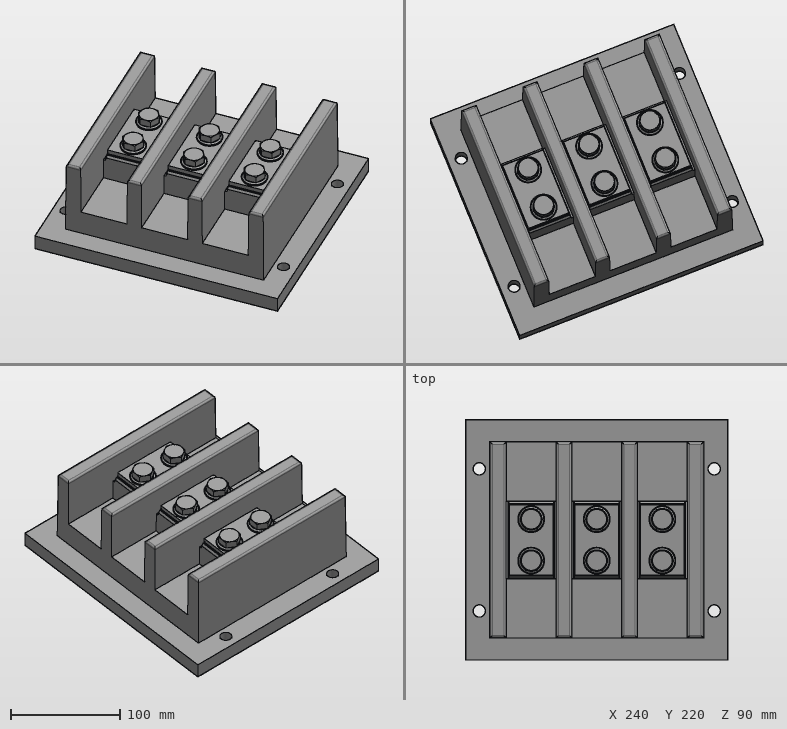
import cadquery as cq
import math

PLATE_LENGTH = 240.0
PLATE_WIDTH = 220.0
PLATE_THICKNESS = 15.0
MOUNT_HOLE_DIAMETER = 11.0
MOUNT_HOLE_SPACING_X = 215.0
MOUNT_HOLE_SPACING_Y = 130.0

TOTAL_HEIGHT = 90.0
HOUSING_LENGTH = 196.0
HOUSING_WIDTH = 180.0
DRAFT_ANGLE = 0.5
POLE_PITCH = 60.0
POLE_COUNT = 3
SLOT_FLOOR_WIDTH = 45.4
SLOT_FLOOR_Z = 39.4
WALL_TOP_FILLET = 2.0

BLOCK_DEPTH = 71.5
BLOCK_SHOULDER_Z = 59.8
BLOCK_NECK_Z = 63.0
BLOCK_TOP_Z = 64.8
BLOCK_RIB_WIDTH = 42.2
BLOCK_NECK_WIDTH = 40.5
BLOCK_END_CHAMFER = 2.0
BLOCK_END_TAPER = 0.7

STRIP_WIDTH = 40.5
STRIP_DEPTH = 64.8
STRIP_THICKNESS = 1.0
BAR_WIDTH = 40.0
BAR_DEPTH = 64.0
BAR_TOP_Z = 70.0

BOLT_SPACING = 38.0
WASHER_DIAMETER = 23.0
WASHER_THICKNESS = 1.7
CONE_LOWER_DIAMETER = 24.5
CONE_UPPER_DIAMETER = 19.7
CONE_HEIGHT = 1.2
HEAD_ACROSS_FLATS = 18.0
HEAD_TOP_Z = 80.0
HEAD_CHAMFER_ANGLE = 30.0

pole_centers = [(i - (POLE_COUNT - 1) / 2) * POLE_PITCH for i in range(POLE_COUNT)]
draft_slope = math.tan(math.radians(DRAFT_ANGLE))


def slot_half_width(z):
    """Half width of a slot at height z, growing upwards by the draft."""
    return SLOT_FLOOR_WIDTH / 2 + (z - SLOT_FLOOR_Z) * draft_slope


def make_plate():
    """Mounting plate with a hole near each corner."""
    return (
        cq.Workplane("XY")
        .box(PLATE_LENGTH, PLATE_WIDTH, PLATE_THICKNESS, centered=(True, True, False))
        .faces(">Z")
        .workplane()
        .rect(MOUNT_HOLE_SPACING_X, MOUNT_HOLE_SPACING_Y, forConstruction=True)
        .vertices()
        .hole(MOUNT_HOLE_DIAMETER)
    )


def make_slot(x):
    """Channel along Y that widens upwards by the draft."""
    half_floor = slot_half_width(SLOT_FLOOR_Z)
    half_top = slot_half_width(TOTAL_HEIGHT)
    return (
        cq.Workplane("XZ")
        .polyline([
            (x - half_floor, SLOT_FLOOR_Z),
            (x + half_floor, SLOT_FLOOR_Z),
            (x + half_top, TOTAL_HEIGHT),
            (x - half_top, TOTAL_HEIGHT),
        ])
        .close()
        .extrude(HOUSING_WIDTH / 2, both=True)
    )


def make_housing():
    """Tapered block cut by the slots, with the tops of the walls rounded."""
    body = (
        cq.Workplane("XY", origin=(0, 0, PLATE_THICKNESS))
        .rect(HOUSING_LENGTH, HOUSING_WIDTH)
        .extrude(TOTAL_HEIGHT - PLATE_THICKNESS, taper=DRAFT_ANGLE)
    )
    for x in pole_centers:
        body = body.cut(make_slot(x))
    return body.faces(">Z").edges().fillet(WALL_TOP_FILLET)


def make_block(x):
    """Block filling the slot width, with flat shoulders, a tapering rib and chamfered ends."""
    half_floor = slot_half_width(SLOT_FLOOR_Z)
    half_shoulder = slot_half_width(BLOCK_SHOULDER_Z)
    half_rib = BLOCK_RIB_WIDTH / 2
    half_neck = BLOCK_NECK_WIDTH / 2
    across = (
        cq.Workplane("XZ")
        .polyline([
            (x - half_floor, SLOT_FLOOR_Z),
            (x + half_floor, SLOT_FLOOR_Z),
            (x + half_shoulder, BLOCK_SHOULDER_Z),
            (x + half_rib, BLOCK_SHOULDER_Z),
            (x + half_neck, BLOCK_NECK_Z),
            (x + half_neck, BLOCK_TOP_Z),
            (x - half_neck, BLOCK_TOP_Z),
            (x - half_neck, BLOCK_NECK_Z),
            (x - half_rib, BLOCK_SHOULDER_Z),
            (x - half_shoulder, BLOCK_SHOULDER_Z),
        ])
        .close()
        .extrude(BLOCK_DEPTH / 2, both=True)
    )
    half_base = BLOCK_DEPTH / 2
    half_upper = half_base - BLOCK_END_TAPER
    half_top = half_upper - BLOCK_END_CHAMFER
    chamfer_start_z = BLOCK_TOP_Z - BLOCK_END_CHAMFER
    along = (
        cq.Workplane("YZ", origin=(x, 0, 0))
        .polyline([
            (-half_base, SLOT_FLOOR_Z),
            (half_base, SLOT_FLOOR_Z),
            (half_upper, chamfer_start_z),
            (half_top, BLOCK_TOP_Z),
            (-half_top, BLOCK_TOP_Z),
            (-half_upper, chamfer_start_z),
        ])
        .close()
        .extrude(POLE_PITCH / 2, both=True)
    )
    return across.intersect(along)


def make_bar(x):
    """Conductor bar lying on a slightly larger contact strip."""
    strip = (
        cq.Workplane("XY", origin=(x, 0, BLOCK_TOP_Z))
        .rect(STRIP_WIDTH, STRIP_DEPTH)
        .extrude(STRIP_THICKNESS)
    )
    bar = (
        cq.Workplane("XY", origin=(x, 0, BLOCK_TOP_Z + STRIP_THICKNESS))
        .rect(BAR_WIDTH, BAR_DEPTH)
        .extrude(BAR_TOP_Z - BLOCK_TOP_Z - STRIP_THICKNESS)
    )
    return strip.union(bar)


def make_bolt(x, y):
    """Hexagon bolt head on a flat washer and a conical washer."""
    cone_bottom_z = BAR_TOP_Z + WASHER_THICKNESS
    head_bottom_z = cone_bottom_z + CONE_HEIGHT
    washers = (
        cq.Workplane("XZ")
        .polyline([
            (0, BAR_TOP_Z),
            (WASHER_DIAMETER / 2, BAR_TOP_Z),
            (WASHER_DIAMETER / 2, cone_bottom_z),
            (CONE_LOWER_DIAMETER / 2, cone_bottom_z),
            (CONE_UPPER_DIAMETER / 2, head_bottom_z),
            (0, head_bottom_z),
        ])
        .close()
        .revolve(360, (0, 0), (0, 1))
    )
    flat_radius = HEAD_ACROSS_FLATS / 2
    corner_radius = flat_radius / math.cos(math.pi / 6)
    corner_drop = (corner_radius - flat_radius) * math.tan(math.radians(HEAD_CHAMFER_ANGLE))
    head = (
        cq.Workplane("XY", origin=(0, 0, head_bottom_z))
        .polygon(6, 2 * corner_radius)
        .extrude(HEAD_TOP_Z - head_bottom_z)
    )
    corner_trim = (
        cq.Workplane("XZ")
        .polyline([
            (0, head_bottom_z),
            (corner_radius, head_bottom_z),
            (corner_radius, HEAD_TOP_Z - corner_drop),
            (flat_radius, HEAD_TOP_Z),
            (0, HEAD_TOP_Z),
        ])
        .close()
        .revolve(360, (0, 0), (0, 1))
    )
    return washers.union(head.intersect(corner_trim)).translate((x, y, 0))


result = make_plate().union(make_housing())
for pole_x in pole_centers:
    result = result.union(make_block(pole_x)).union(make_bar(pole_x))
    for bolt_y in (-BOLT_SPACING / 2, BOLT_SPACING / 2):
        result = result.union(make_bolt(pole_x, bolt_y))